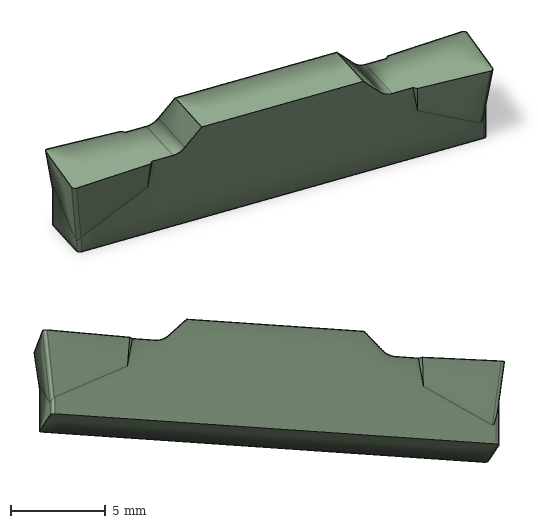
import cadquery as cq
import math


body_width = 3.11
body_length = 24.28
body_corner_radius = 0.2

head_height = 4.5
total_height = 5.79
raised_half_length = 4.8
ramp_angle = math.radians(45)
ramp_radius = 1.0

sharp_length = 25.36
sharp_width = 4.08
lead_angle = math.radians(5)
side_relief_angle = math.radians(3.6)
clearance_angle = 7
head_back_y = 7.74
head_corner_radius = 0.2


def make_body():
    """Straight bar whose raised middle ramps down to the head height."""
    half_length = body_length / 2
    tangent_length = ramp_radius * math.tan(ramp_angle / 2)
    foot_y = raised_half_length + (total_height - head_height) / math.tan(ramp_angle)
    ramp_end_y = foot_y - tangent_length * math.cos(ramp_angle)
    ramp_end_z = head_height + tangent_length * math.sin(ramp_angle)
    arc_end_y = foot_y + tangent_length
    arc_mid_y = arc_end_y - ramp_radius * math.sin(ramp_angle / 2)
    arc_mid_z = head_height + ramp_radius * (1 - math.cos(ramp_angle / 2))

    profile = (
        cq.Workplane("YZ")
        .moveTo(-half_length, 0)
        .lineTo(half_length, 0)
        .lineTo(half_length, head_height)
        .lineTo(arc_end_y, head_height)
        .threePointArc((arc_mid_y, arc_mid_z), (ramp_end_y, ramp_end_z))
        .lineTo(raised_half_length, total_height)
        .lineTo(-raised_half_length, total_height)
        .lineTo(-ramp_end_y, ramp_end_z)
        .threePointArc((-arc_mid_y, arc_mid_z), (-arc_end_y, head_height))
        .lineTo(-half_length, head_height)
        .close()
    )
    bar = profile.extrude(body_width / 2, both=True)
    end_corners = bar.faces("<Y or >Y").edges("|Z")
    return end_corners.fillet(body_corner_radius)


def make_head():
    """Cutting head at the +Y end, with walls leaning inward toward the bottom."""
    half_width = sharp_width / 2
    tip_y = sharp_length / 2
    short_side_y = tip_y - sharp_width * math.tan(lead_angle)

    back_point_y = head_back_y - body_width / 2
    relief_slope = math.tan(side_relief_angle)

    back_x = (half_width - relief_slope * (tip_y - back_point_y)) / (1 - relief_slope)
    back_y = back_point_y + back_x
    short_side_x = half_width - relief_slope * (tip_y - short_side_y)
    outline = [
        (0, back_point_y),
        (back_x, back_y),
        (short_side_x, short_side_y),
        (-half_width, tip_y),
        (-back_x, back_y),
    ]
    head = (
        cq.Workplane("XY")
        .workplane(offset=head_height)
        .polyline(outline)
        .close()
        .extrude(-head_height, taper=clearance_angle)
    )
    front_corners = head.faces(">Y").edges("not #Z")
    return front_corners.fillet(head_corner_radius)


head = make_head()
opposite_head = head.rotate((0, 0, 0), (0, 0, 1), 180)
result = make_body().union(head).union(opposite_head)